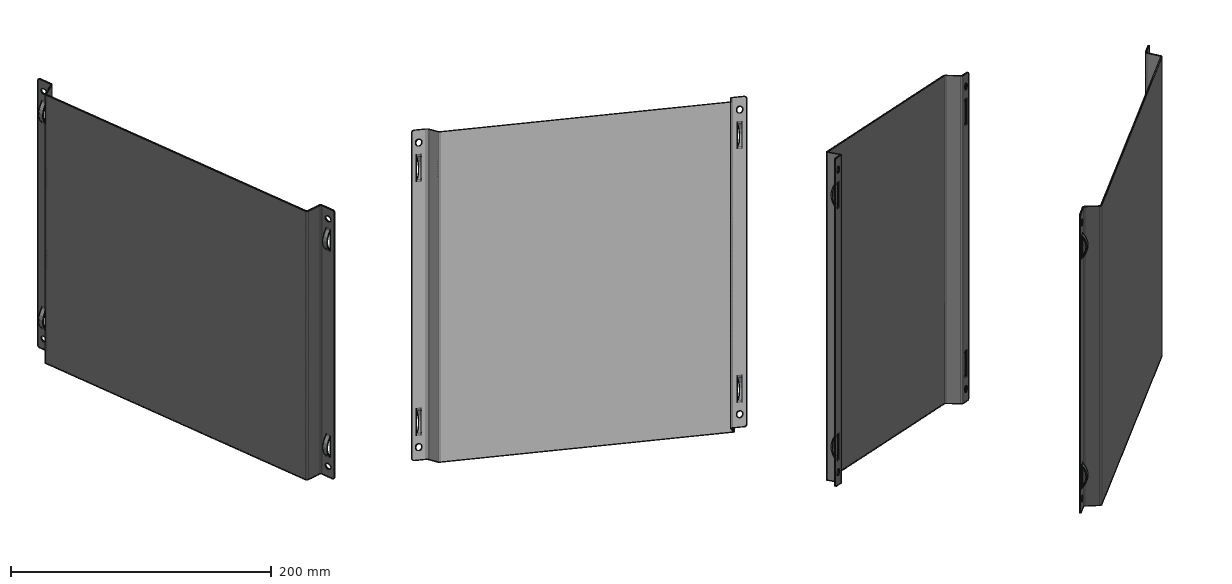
import cadquery as cq
import math

WIDTH = 282.0
DEPTH = 14.0
HEIGHT = 260.0

THICKNESS = 1.0
INNER_RADIUS = 1.0
OUTER_RADIUS = INNER_RADIUS + THICKNESS
WEB_ANGLE = 15.0
PANEL_WIDTH = 249.3
CORNER_RADIUS = 2.0

FEATURE_INSET = 6.0
HOLE_DIAMETER = 5.4
HOLE_END_INSET = 10.2
BRIDGE_WIDTH = 4.0
BRIDGE_LENGTH = 21.2
BRIDGE_RISE = 4.2
BRIDGE_FOOT_RADIUS = 1.5
BRIDGE_END_INSET = 30.2

FLANGE_FRONT = DEPTH - THICKNESS
FEATURE_X = WIDTH / 2 - FEATURE_INSET


def hat_profile_sheet():
    """Flat panel, two leaning webs and two flanges, extruded along Z."""
    lean = math.tan(math.radians(WEB_ANGLE))
    web_run = THICKNESS / math.cos(math.radians(WEB_ANGLE))
    outside_panel = PANEL_WIDTH / 2
    outside_flange = outside_panel + FLANGE_FRONT * lean
    inside_panel = outside_panel + THICKNESS * lean - web_run
    inside_flange = outside_panel + DEPTH * lean - web_run
    right_half = [
        (inside_panel, THICKNESS),
        (inside_flange, DEPTH),
        (WIDTH / 2, DEPTH),
        (WIDTH / 2, FLANGE_FRONT),
        (outside_flange, FLANGE_FRONT),
        (outside_panel, 0),
    ]
    left_half = [(-x, y) for x, y in reversed(right_half)]
    sheet = cq.Workplane("XY").polyline(right_half + left_half).close().extrude(HEIGHT)

    def round_bends(body, corners, radius):
        for x, y in corners:
            for side in (-1, 1):
                nearest = cq.selectors.NearestToPointSelector((side * x, y, HEIGHT / 2))
                body = body.edges("|Z").edges(nearest).fillet(radius)
        return body

    sheet = round_bends(sheet, [(inside_panel, THICKNESS), (outside_flange, FLANGE_FRONT)], INNER_RADIUS)
    sheet = round_bends(sheet, [(inside_flange, DEPTH), (outside_panel, 0)], OUTER_RADIUS)
    return sheet.edges("|Y").edges("<X or >X").fillet(CORNER_RADIUS)


def hole_cutter(x, z):
    """Round hole through a flange."""
    return cq.Workplane("XZ", origin=(x, DEPTH, z)).circle(HOLE_DIAMETER / 2).extrude(DEPTH)


def bridge_window(x, z):
    """Opening in a flange behind a bridge."""
    return cq.Workplane("XY").box(BRIDGE_WIDTH, 2 * THICKNESS, BRIDGE_LENGTH).translate((x, DEPTH, z))


def bridge(x, z):
    """Strip lanced out of the flange and bowed forward, with feet that flow into the flange."""
    half_length = BRIDGE_LENGTH / 2
    radius_sum = (half_length**2 + BRIDGE_RISE**2) / (2 * BRIDGE_RISE)
    bow_radius = radius_sum - BRIDGE_FOOT_RADIUS
    bow_centre_y = FLANGE_FRONT - BRIDGE_RISE + bow_radius
    foot_centre_y = FLANGE_FRONT - BRIDGE_FOOT_RADIUS
    slope_angle = math.asin(half_length / radius_sum)

    def on_bow(radius, angle):
        return (bow_centre_y - radius * math.cos(angle), radius * math.sin(angle))

    def on_foot(radius, angle, side):
        return (
            foot_centre_y + radius * math.cos(angle),
            side * (half_length - radius * math.sin(angle)),
        )

    front_foot = BRIDGE_FOOT_RADIUS
    back_foot = BRIDGE_FOOT_RADIUS + THICKNESS
    front_bow = bow_radius
    back_bow = bow_radius - THICKNESS
    return (
        cq.Workplane("YZ", origin=(x - BRIDGE_WIDTH / 2, 0, z))
        .moveTo(*on_foot(front_foot, 0, -1))
        .threePointArc(on_foot(front_foot, slope_angle / 2, -1), on_bow(front_bow, -slope_angle))
        .threePointArc(on_bow(front_bow, 0), on_bow(front_bow, slope_angle))
        .threePointArc(on_foot(front_foot, slope_angle / 2, 1), on_foot(front_foot, 0, 1))
        .lineTo(*on_foot(back_foot, 0, 1))
        .threePointArc(on_foot(back_foot, slope_angle / 2, 1), on_bow(back_bow, slope_angle))
        .threePointArc(on_bow(back_bow, 0), on_bow(back_bow, -slope_angle))
        .threePointArc(on_foot(back_foot, slope_angle / 2, -1), on_foot(back_foot, 0, -1))
        .close()
        .extrude(BRIDGE_WIDTH)
    )


result = hat_profile_sheet()
for x in (-FEATURE_X, FEATURE_X):
    for z in (HOLE_END_INSET, HEIGHT - HOLE_END_INSET):
        result = result.cut(hole_cutter(x, z))
    for z in (BRIDGE_END_INSET, HEIGHT - BRIDGE_END_INSET):
        result = result.cut(bridge_window(x, z)).union(bridge(x, z))